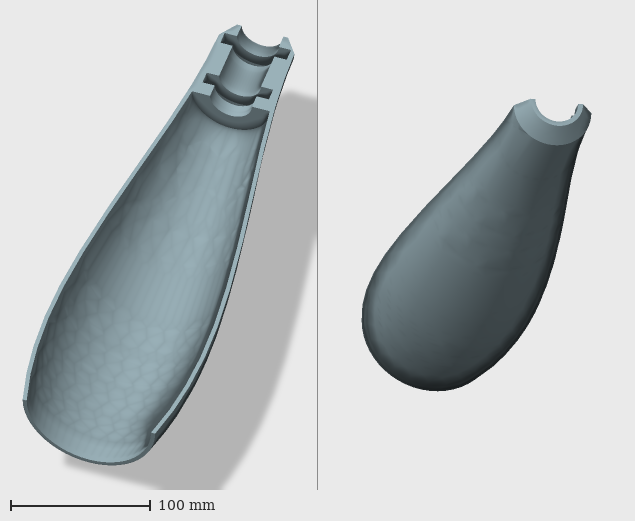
import cadquery as cq

length = 385.0
wall = 3.0
mouth_radius = 50.0
belly_radius = 60.5

outer_points = [
    (mouth_radius, 0.0),
    (59.0, 50.0),
    (belly_radius, 92.5),
    (55.5, 158.0),
    (44.3, 235.0),
    (32.7, 312.0),
    (28.5, 372.0),
]

tip_radius = 19.2
bore_radius = 15.8
cavity_end = 315.0
groove_radius = 25.0
groove_width = 9.5
groove_starts = (325.5, 365.0)


def lower_half(solid):
    """Keep the part of a solid that lies below the split plane."""
    side = 4 * length
    lower_space = cq.Workplane("XY").box(side, side, side).translate((0, 0, -side / 2))
    return solid.intersect(lower_space)


def outer_body():
    profile = (
        cq.Workplane("XY")
        .moveTo(0, 0)
        .lineTo(mouth_radius, 0)
        .spline(outer_points[1:], includeCurrent=True)
        .lineTo(tip_radius, length)
        .lineTo(0, length)
    )
    full_body = profile.close().revolve(360, (0, 0, 0), (0, 1, 0))
    return lower_half(full_body)


def cavity():
    """Inside of the shell, one wall thickness smaller in radius, ending flat at the neck."""
    inner_points = [(radius - wall, y) for radius, y in outer_points]
    shape = (
        cq.Workplane("XY")
        .moveTo(0, 0)
        .lineTo(*inner_points[0])
        .spline(inner_points[1:], includeCurrent=True)
        .lineTo(0, inner_points[-1][1])
        .close()
        .revolve(360, (0, 0, 0), (0, 1, 0))
    )
    span = 4 * belly_radius
    keep = cq.Workplane("XY").box(span, cavity_end, span).translate((0, cavity_end / 2, 0))
    return shape.intersect(keep)


def round_cut(radius, start, depth):
    """Cylinder on the Y axis from the given start."""
    return cq.Workplane("XZ", origin=(0, start, 0)).circle(radius).extrude(-depth)


result = outer_body().cut(cavity())
result = result.cut(round_cut(bore_radius, 0, length))
for groove_start in groove_starts:
    result = result.cut(round_cut(groove_radius, groove_start, groove_width))